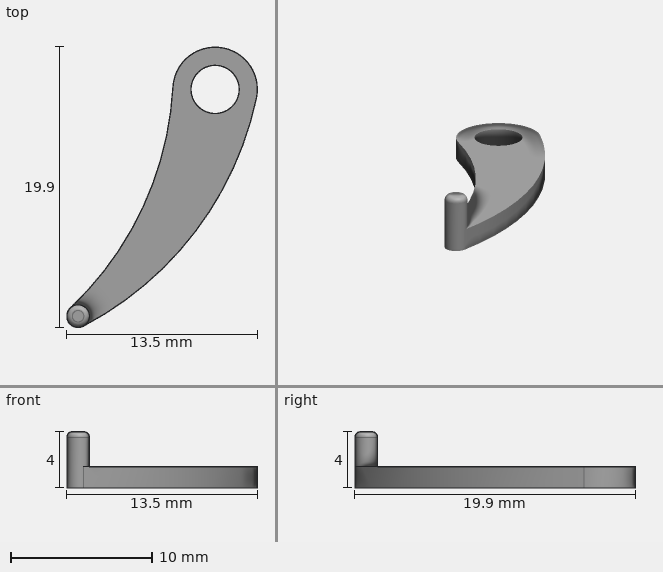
import cadquery as cq
import math

length_x = 13.5
length_y = 19.86
total_height = 4.0
plate_thickness = 1.5
eye_radius = 3.0
hole_diameter = 3.4
pin_diameter = 1.6
pin_top_fillet = 0.4

concave_radius = 23.24
convex_radius = 23.83

tip_radius = pin_diameter / 2
pin_x = -(length_x - eye_radius - tip_radius)
pin_y = -(length_y - eye_radius - tip_radius)


def side_arc_centre(eye_distance, tip_distance):
    """Point up and left of the arm at the given distances from the eye and pin centres."""
    span = math.hypot(pin_x, pin_y)
    along = (eye_distance**2 - tip_distance**2 + span**2) / (2 * span)
    across = math.sqrt(eye_distance**2 - along**2)
    unit_x = pin_x / span
    unit_y = pin_y / span
    return along * unit_x + across * unit_y, along * unit_y - across * unit_x


def point_from(centre, target, distance):
    """Point at a distance from the centre, in the direction of the target."""
    dx = target[0] - centre[0]
    dy = target[1] - centre[1]
    scale = distance / math.hypot(dx, dy)
    return centre[0] + dx * scale, centre[1] + dy * scale


def side_arc(radius, eye_distance, tip_distance):
    """Eye end, middle and tip end of a side arc tangent to both end circles."""
    centre = side_arc_centre(eye_distance, tip_distance)
    eye_end = point_from(centre, (0, 0), radius)
    tip_end = point_from(centre, (pin_x, pin_y), radius)
    chord_middle = ((eye_end[0] + tip_end[0]) / 2, (eye_end[1] + tip_end[1]) / 2)
    return eye_end, point_from(centre, chord_middle, radius), tip_end


concave_eye, concave_middle, concave_tip = side_arc(
    concave_radius, concave_radius + eye_radius, concave_radius + tip_radius
)
convex_eye, convex_middle, convex_tip = side_arc(
    convex_radius, convex_radius - eye_radius, convex_radius - tip_radius
)

eye_far_point = (0, eye_radius)
tip_far_point = point_from((pin_x, pin_y), (2 * pin_x, 2 * pin_y), tip_radius)
arm = (
    cq.Workplane("XY")
    .moveTo(*concave_eye)
    .threePointArc(concave_middle, concave_tip)
    .threePointArc(tip_far_point, convex_tip)
    .threePointArc(convex_middle, convex_eye)
    .threePointArc(eye_far_point, concave_eye)
    .close()
    .extrude(plate_thickness)
)

pin = (
    cq.Workplane("XY")
    .center(pin_x, pin_y)
    .circle(tip_radius)
    .extrude(total_height)
    .faces(">Z")
    .edges()
    .fillet(pin_top_fillet)
)

eye_hole = cq.Workplane("XY").circle(hole_diameter / 2).extrude(plate_thickness)

result = arm.union(pin).cut(eye_hole)